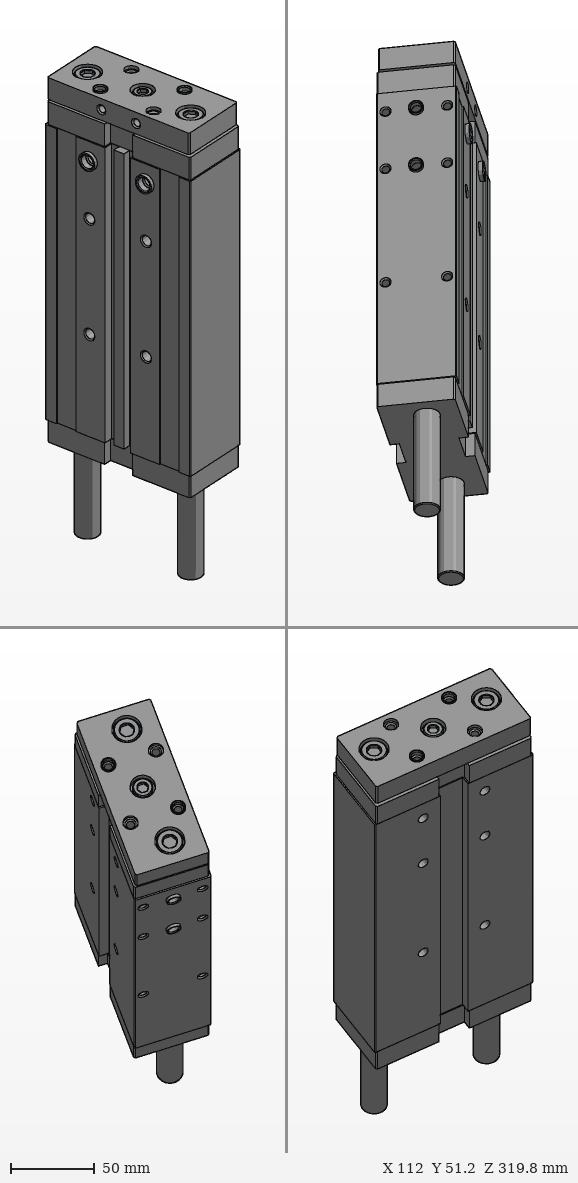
import cadquery as cq
import math

total_height = 319.8
sleeve_rise_plate = 1.0
plate_top = total_height - sleeve_rise_plate
plate_thickness = 15.0
plate_bottom = plate_top - plate_thickness
travel_gap = 1.5
cover_height = 15.7
housing_height = 204.0
head_top = plate_bottom - travel_gap
housing_top = head_top - cover_height
housing_bottom = housing_top - housing_height
base_bottom = housing_bottom - cover_height

total_width = 112.0
total_depth = 51.2
housing_width = 110.0
housing_depth = 48.5
housing_edge_chamfer = 0.5
housing_left = -housing_width / 2
housing_front = -housing_depth / 2
housing_back = housing_depth / 2
cover_width = 108.0
cover_front = housing_front + 1.0
plate_left = -cover_width / 2
plate_right = 53.5
plate_reach = 23.5
cover_edge_chamfer = 1.0

slot_width = 19.2
slot_depth = 6.5
rib_width = 7.7
rib_setback = 1.3
cover_slot_width = 21.0
cover_slot_depth = 5.8
side_recess_inner = 31.7
side_recess_outer = 46.5
side_recess_depth = 1.0

guide_spacing = 78.0
guide_y = -3.5
guide_diameter = 16.0
guide_end_chamfer = 0.5
piston_rod_diameter = 12.0
guide_screw_recess = 18.0
guide_screw_head = 16.0
guide_screw_socket = 8.0
piston_screw_recess = 15.0
piston_screw_head = 12.0
piston_screw_socket = 6.0
screw_sink = 1.0
screw_head_height = 3.2
screw_head_chamfer = 0.5
socket_depth = 2.5

small_hole = 4.8
small_hole_mouth = 6.7
blind_depth = 9.5
drill_point_angle = 118.0
through_hole = 6.7
through_mouth = 8.3
mount_hole_x = 21.5
hole_levels = [273.5, 233.0, 153.2]
side_hole_y = 18.7
plate_hole_x = 20.0
plate_hole_y = 15.0
plate_hole_center_y = -0.3
plate_side_hole_x = 13.0
plate_side_hole_z = plate_top - 7.7

small_sleeve_diameter = 9.0
small_sleeve_bore = 6.7
large_sleeve_diameter = 12.0
large_sleeve_bore = 9.0
sleeve_bore_chamfer = 0.5
sleeve_seat_depth = 2.2
sleeve_rise_side = total_width - housing_width
sleeve_rise_front = total_depth - housing_depth

INTO_Y = cq.Vector(0, 1, 0)
INTO_X = cq.Vector(1, 0, 0)
DOWN = cq.Vector(0, 0, -1)


def block(x_min, x_max, y_min, y_max, z_min, z_max):
    """Box between the given limits."""
    box = cq.Workplane("XY").box(x_max - x_min, y_max - y_min, z_max - z_min, centered=False)
    return box.translate((x_min, y_min, z_min))


def rod(diameter, depth, start, direction):
    """Cylinder that starts at a point and runs along a direction."""
    return cq.Workplane(cq.Solid.makeCylinder(diameter / 2, depth, cq.Vector(*start), direction))


def cone(large_diameter, small_diameter, depth, start, direction):
    """Cone that narrows from its start point along a direction."""
    return cq.Workplane(
        cq.Solid.makeCone(large_diameter / 2, small_diameter / 2, depth, cq.Vector(*start), direction)
    )


def countersink(mouth, diameter, start, direction):
    """45-degree countersink for a hole."""
    return cone(mouth, diameter, (mouth - diameter) / 2, start, direction)


def blind_hole(start, direction):
    """Small drilled hole with a countersunk mouth and a conical bottom."""
    point_depth = small_hole / 2 / math.tan(math.radians(drill_point_angle / 2))
    bottom = (cq.Vector(*start) + direction * blind_depth).toTuple()
    hole = rod(small_hole, blind_depth, start, direction)
    hole = hole.union(cone(small_hole, 0, point_depth, bottom, direction))
    return hole.union(countersink(small_hole_mouth, small_hole, start, direction))


def sleeve(diameter, bore, rise, start, direction):
    """Ring seated in a recess and standing proud of the face by its rise."""
    first = (cq.Vector(*start) - direction * rise).toTuple()
    length = rise + sleeve_seat_depth
    ring = rod(diameter, length, first, direction).cut(rod(bore, length, first, direction))
    return ring.cut(countersink(bore + 2 * sleeve_bore_chamfer, bore, first, direction))


guide_points = [(side * guide_spacing / 2, guide_y) for side in (-1, 1)]
plate_holes = [
    (i * plate_hole_x, plate_hole_center_y + j * plate_hole_y, plate_top)
    for i in (-1, 1)
    for j in (-1, 1)
]
plate_sleeve_points = [plate_holes[0], plate_holes[-1]]
front_sleeve_points = [(side * mount_hole_x, housing_front, hole_levels[0]) for side in (-1, 1)]
side_sleeve_points = [(housing_left, 0, z) for z in hole_levels[:2]]


def cut_guide_bores(body):
    """Clearance-free bores for the two guide rods."""
    for x, y in guide_points:
        body = body.cut(rod(guide_diameter, total_height, (x, y, total_height), DOWN))
    return body


def make_housing():
    """Profiled housing with slots, mounting holes and sleeve seats."""
    body = block(
        -housing_width / 2, housing_width / 2, housing_front, housing_back, housing_bottom, housing_top
    )
    body = body.edges("|Z").chamfer(housing_edge_chamfer)

    half_slot = slot_width / 2
    half_rib = rib_width / 2
    slot_floor = housing_front + slot_depth
    rib_front = housing_front + rib_setback
    body = body.cut(block(-half_slot, half_slot, housing_front, slot_floor, housing_bottom, housing_top))
    body = body.union(block(-half_rib, half_rib, rib_front, slot_floor, housing_bottom, housing_top))
    back_floor = housing_back - slot_depth
    body = body.cut(block(-half_slot, half_slot, back_floor, housing_back, housing_bottom, housing_top))

    recess_floor = housing_front + side_recess_depth
    for x_min in (-side_recess_outer, side_recess_inner):
        x_max = x_min + side_recess_outer - side_recess_inner
        body = body.cut(block(x_min, x_max, housing_front, recess_floor, housing_bottom, housing_top))

    for z in hole_levels:
        for side in (-1, 1):
            start = (side * mount_hole_x, housing_front, z)
            body = body.cut(rod(through_hole, housing_depth, start, INTO_Y))
            body = body.cut(countersink(through_mouth, through_hole, start, INTO_Y))

    for z in hole_levels:
        for side in (-1, 1):
            start = (housing_left, side * side_hole_y, z)
            body = body.cut(blind_hole(start, INTO_X))

    for start in front_sleeve_points:
        seat_floor = (cq.Vector(*start) + INTO_Y * sleeve_seat_depth).toTuple()
        body = body.cut(rod(large_sleeve_diameter, sleeve_seat_depth, start, INTO_Y))
        body = body.cut(countersink(through_mouth, through_hole, seat_floor, INTO_Y))
    for start in side_sleeve_points:
        body = body.cut(rod(small_sleeve_diameter, sleeve_seat_depth, start, INTO_X))
        body = body.cut(rod(small_sleeve_bore, blind_depth, start, INTO_X))
    return cut_guide_bores(body)


def make_cover(z_min):
    """End cover with a slot in front and at the back."""
    z_max = z_min + cover_height
    body = block(-cover_width / 2, cover_width / 2, cover_front, housing_back, z_min, z_max)
    body = body.edges("|Z").chamfer(cover_edge_chamfer)
    half_slot = cover_slot_width / 2
    front_floor = cover_front + cover_slot_depth
    back_floor = housing_back - cover_slot_depth
    body = body.cut(block(-half_slot, half_slot, cover_front, front_floor, z_min, z_max))
    body = body.cut(block(-half_slot, half_slot, back_floor, housing_back, z_min, z_max))
    return cut_guide_bores(body)


def add_screw(body, x, y, recess_diameter, head_diameter, socket_width):
    """Recessed screw head with a hexagon socket."""
    head_top_z = plate_top - screw_sink
    recess = rod(recess_diameter, screw_sink + screw_head_height, (x, y, plate_top), DOWN)
    head = rod(head_diameter, screw_head_height, (x, y, head_top_z), DOWN)
    head = head.faces(">Z").chamfer(screw_head_chamfer)
    corner_diameter = socket_width / math.cos(math.pi / 6)
    socket = cq.Workplane("XY").polygon(6, corner_diameter).extrude(-socket_depth)
    socket = socket.rotate((0, 0, 0), (0, 0, 1), 30).translate((x, y, head_top_z))
    socket = socket.union(countersink(corner_diameter, socket_width, (x, y, head_top_z), DOWN))
    return body.cut(recess).union(head).cut(socket)


def make_slide():
    """Moving yoke: plate, piston rod and the two guide rods in one piece."""
    body = block(plate_left, plate_right, -plate_reach, plate_reach, plate_bottom, plate_top)
    body = body.edges("|Z").chamfer(cover_edge_chamfer)
    for x, y in guide_points:
        guide = rod(guide_diameter, plate_bottom, (x, y, plate_bottom), DOWN)
        body = body.union(guide.faces("<Z").chamfer(guide_end_chamfer))
    piston_length = plate_bottom - housing_top
    body = body.union(rod(piston_rod_diameter, piston_length, (0, 0, plate_bottom), DOWN))

    for x, y in guide_points:
        body = add_screw(body, x, y, guide_screw_recess, guide_screw_head, guide_screw_socket)
    body = add_screw(body, 0, 0, piston_screw_recess, piston_screw_head, piston_screw_socket)

    for start in plate_holes:
        seat_floor = (cq.Vector(*start) + DOWN * sleeve_seat_depth).toTuple()
        body = body.cut(rod(small_hole, plate_thickness, start, DOWN))
        body = body.cut(rod(small_sleeve_diameter, sleeve_seat_depth, start, DOWN))
        body = body.cut(countersink(small_hole_mouth, small_hole, seat_floor, DOWN))
    for side in (-1, 1):
        start = (side * plate_side_hole_x, -plate_reach, plate_side_hole_z)
        body = body.cut(blind_hole(start, INTO_Y))
    return body


housing = make_housing()
head_cover = make_cover(housing_top).cut(rod(piston_rod_diameter, cover_height, (0, 0, head_top), DOWN))
base_cover = make_cover(base_bottom)
slide = make_slide()
plate_sleeves = [
    sleeve(small_sleeve_diameter, small_sleeve_bore, sleeve_rise_plate, start, DOWN)
    for start in plate_sleeve_points
]
side_sleeves = [
    sleeve(small_sleeve_diameter, small_sleeve_bore, sleeve_rise_side, start, INTO_X)
    for start in side_sleeve_points
]
front_sleeves = [
    sleeve(large_sleeve_diameter, large_sleeve_bore, sleeve_rise_front, start, INTO_Y)
    for start in front_sleeve_points
]

result = cq.Compound.makeCompound(
    [housing.val(), head_cover.val(), base_cover.val(), slide.val()]
    + [ring.val() for ring in plate_sleeves + side_sleeves + front_sleeves]
)